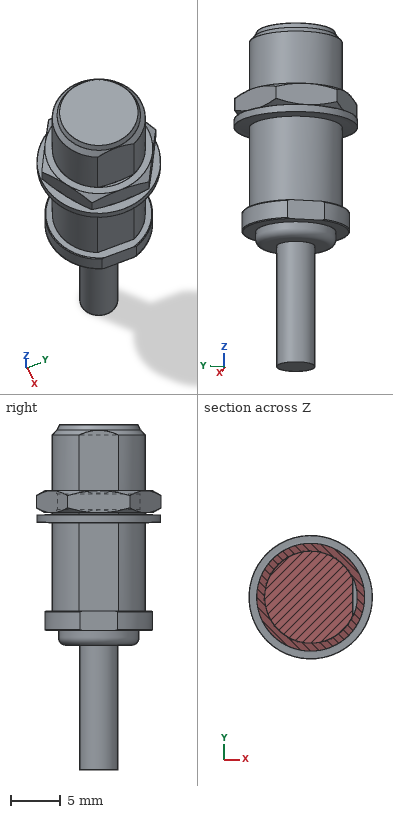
import cadquery as cq
import math

boss_bottom_z = 12.7
flange_bottom_z = 14.2
flange_top_z = 16.2
washer_bottom_z = 25.24
washer_thickness = 0.75
nut_gap = 0.22
nut_height = 2.25
housing_top_z = 35.2
washer_top_z = washer_bottom_z + washer_thickness
nut_bottom_z = washer_top_z + nut_gap
nut_top_z = nut_bottom_z + nut_height

cable_radius = 1.95
boss_radius = 4.1
boss_fillet = 0.75
barrel_radius = 4.75
barrel_flat_x = 4.3
flange_radius = 5.5
flange_flat_x = 5.15
flange_edge_chamfer = 0.1

bevel_stage_height = 0.53
bevel_middle_radius = 4.25
bevel_top_radius = 4.0

washer_radius = 6.3
crown_radius = 5.7
crown_height = 0.08

nut_across_flats = 11.0
nut_sides = 6
nut_corner_radius = nut_across_flats / 2 / math.cos(math.pi / nut_sides)
nut_bore_radius = 4.2
nut_chamfer_angle = 30
nut_chamfer_slope = math.tan(math.radians(nut_chamfer_angle))


def disc(radius, bottom_z, top_z):
    """Cylinder on the Z axis between two levels."""
    return cq.Workplane("XY").workplane(offset=bottom_z).circle(radius).extrude(top_z - bottom_z)


def revolved(points):
    """Solid of revolution about Z from (radius, z) points."""
    return cq.Workplane("XZ").polyline(points).close().revolve(360, (0, 0, 0), (0, 1, 0))


def slab(min_x, max_x):
    """Block between two X positions, larger than the part in Y and Z."""
    depth = 4 * washer_radius
    height = 2 * housing_top_z
    return cq.Workplane("XY").box(max_x - min_x, depth, height).translate(((min_x + max_x) / 2, 0, 0))


def make_barrel():
    """Barrel with a bevelled top and one flat along its +X side."""
    bevel_middle_z = housing_top_z - bevel_stage_height
    bevel_bottom_z = bevel_middle_z - bevel_stage_height
    barrel = revolved([
        (0, flange_bottom_z),
        (barrel_radius, flange_bottom_z),
        (barrel_radius, bevel_bottom_z),
        (bevel_middle_radius, bevel_middle_z),
        (bevel_top_radius, housing_top_z),
        (0, housing_top_z),
    ])
    return barrel.intersect(slab(-flange_radius, barrel_flat_x))


def make_flange():
    """Round flange with lightly broken edges and two opposite flats."""
    flange = disc(flange_radius, flange_bottom_z, flange_top_z).edges().chamfer(flange_edge_chamfer)
    return flange.intersect(slab(-flange_flat_x, flange_flat_x))


def make_cable_end():
    """Cable and the rounded boss it leaves the housing through."""
    boss = disc(boss_radius, boss_bottom_z, flange_bottom_z).faces("<Z").edges().fillet(boss_fillet)
    return boss.union(disc(cable_radius, 0, boss_bottom_z))


def make_washer():
    """Washer, solid to the axis, with shallow conical crowns on both faces."""
    return revolved([
        (0, washer_bottom_z - crown_height),
        (barrel_radius, washer_bottom_z - crown_height),
        (crown_radius, washer_bottom_z),
        (washer_radius, washer_bottom_z),
        (washer_radius, washer_top_z),
        (crown_radius, washer_top_z),
        (barrel_radius, washer_top_z + crown_height),
        (0, washer_top_z + crown_height),
    ])


def make_nut():
    """Hexagon nut with corners towards +Y and -Y, chamfered outside and in the bore."""
    hexagon = (
        cq.Workplane("XY")
        .workplane(offset=nut_bottom_z)
        .transformed(rotate=(0, 0, 90))
        .polygon(nut_sides, 2 * nut_corner_radius)
        .extrude(nut_height)
    )
    face_radius = nut_across_flats / 2
    corner_drop = (nut_corner_radius - face_radius) * nut_chamfer_slope
    bore_drop = (barrel_radius - nut_bore_radius) * nut_chamfer_slope
    chamfered_ring = revolved([
        (nut_bore_radius, nut_bottom_z + bore_drop),
        (barrel_radius, nut_bottom_z),
        (face_radius, nut_bottom_z),
        (nut_corner_radius, nut_bottom_z + corner_drop),
        (nut_corner_radius, nut_top_z - corner_drop),
        (face_radius, nut_top_z),
        (barrel_radius, nut_top_z),
        (nut_bore_radius, nut_top_z - bore_drop),
    ])
    return hexagon.intersect(chamfered_ring)


nut = make_nut()
housing = make_barrel().union(make_flange()).union(make_cable_end()).union(make_washer()).cut(nut)

result = cq.Compound.makeCompound([housing.solids().val(), nut.solids().val()])